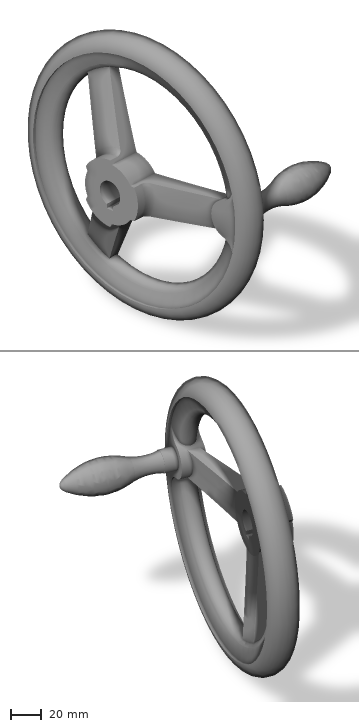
import cadquery as cq
import math


wheel_radius = 100.0
rim_thickness = 22.0
rim_mid_y = -rim_thickness / 2
rim_round = rim_thickness / 2
rim_face_radius = wheel_radius - rim_round
rim_step = 2.0
rim_inner_radius = 75.0
lip_round = 6.2
lip_slope_angle = 17.5

hub_front_y = -45.0
hub_back_y = -21.5
hub_radius = 22.0
lobe_radius = 24.5
bore_diameter = 18.0
keyway_width = 5.5
keyway_depth = 11.8

spoke_count = 3
spoke_root_radius = 18.0
spoke_root_width = 25.0
spoke_tip_radius = 78.0
spoke_tip_width = 22.0
spoke_front_corner_y = -34.5
spoke_tip_front_y = -14.4
spoke_tip_back_y = -6.5
spoke_fillet = 4.5

handle_x = 80.0
pad_radius = 14.0
pad_fillet = 12.0
collar_diameter = 16.0
collar_length = 7.2
neck_base_radius = 7.5
neck_waist_radius = 6.5
neck_waist_y = 17.0
grip_start_radius = 8.4
grip_start_y = 28.2
grip_max_radius = 12.4
grip_max_y = 46.5
grip_end_radius = 4.4
grip_end_y = 74.4
handle_end_y = 77.4


def make_rim():
    """Half-round outside, stepped in at both faces and tapering to a round inner lip."""
    slope = math.radians(lip_slope_angle)
    lip_center = rim_inner_radius + lip_round
    tangent_r = lip_center - lip_round * math.sin(slope)
    tangent_half = lip_round * math.cos(slope)
    step_half = rim_round - rim_step
    profile = (
        cq.Workplane("XY")
        .moveTo(rim_face_radius, rim_mid_y - rim_round)
        .threePointArc((wheel_radius, rim_mid_y), (rim_face_radius, rim_mid_y + rim_round))
        .lineTo(rim_face_radius, rim_mid_y + step_half)
        .lineTo(tangent_r, rim_mid_y + tangent_half)
        .threePointArc((rim_inner_radius, rim_mid_y), (tangent_r, rim_mid_y - tangent_half))
        .lineTo(rim_face_radius, rim_mid_y - step_half)
        .close()
    )
    return profile.revolve(360, (0, 0, 0), (0, 1, 0))


def cylinder_y(radius, start_y, end_y):
    """Cylinder on the wheel axis between two Y positions."""
    return cq.Workplane("XZ", origin=(0, end_y, 0)).circle(radius).extrude(end_y - start_y)


def make_spoke():
    """Spoke along +X: a revolved side profile, trimmed to a tapered width."""
    slope = math.atan2(spoke_tip_front_y - spoke_front_corner_y, spoke_tip_radius - lobe_radius)
    tangent_length = spoke_fillet * math.tan((math.pi / 2 - slope) / 2)
    fillet_center = (lobe_radius + spoke_fillet, spoke_front_corner_y - tangent_length)
    fillet_end = (
        lobe_radius + tangent_length * math.cos(slope),
        spoke_front_corner_y + tangent_length * math.sin(slope),
    )
    mid_angle = (math.pi + math.pi / 2 + slope) / 2
    fillet_mid = (
        fillet_center[0] + spoke_fillet * math.cos(mid_angle),
        fillet_center[1] + spoke_fillet * math.sin(mid_angle),
    )
    body = (
        cq.Workplane("XY")
        .moveTo(0, hub_front_y)
        .lineTo(lobe_radius, hub_front_y)
        .lineTo(lobe_radius, fillet_center[1])
        .threePointArc(fillet_mid, fillet_end)
        .lineTo(spoke_tip_radius, spoke_tip_front_y)
        .lineTo(spoke_tip_radius, spoke_tip_back_y)
        .lineTo(hub_radius, hub_back_y)
        .lineTo(0, hub_back_y)
        .close()
        .revolve(360, (0, 0, 0), (0, 1, 0))
    )
    footprint = [
        (0, -spoke_root_width / 2),
        (spoke_root_radius, -spoke_root_width / 2),
        (spoke_tip_radius, -spoke_tip_width / 2),
        (spoke_tip_radius, spoke_tip_width / 2),
        (spoke_root_radius, spoke_root_width / 2),
        (0, spoke_root_width / 2),
    ]
    width = cq.Workplane("XZ").polyline(footprint).close().extrude(-hub_front_y)
    return body.intersect(width)


def make_pad():
    """Round pad, one rim step below both rim faces, blended into the rim by concave arcs."""
    center_distance = rim_face_radius - pad_fillet
    pad_distance = pad_radius + pad_fillet
    fillet_x = (center_distance**2 + handle_x**2 - pad_distance**2) / (2 * handle_x)
    fillet_z = math.sqrt(center_distance**2 - fillet_x**2)
    pad_share = pad_radius / pad_distance
    pad_x = handle_x + (fillet_x - handle_x) * pad_share
    pad_z = fillet_z * pad_share
    rim_share = rim_face_radius / center_distance
    rim_x = fillet_x * rim_share
    rim_z = fillet_z * rim_share
    start_angle = math.atan2(pad_z - fillet_z, pad_x - fillet_x)
    end_angle = math.atan2(rim_z - fillet_z, rim_x - fillet_x)
    mid_angle = (start_angle + end_angle) / 2
    mid_x = fillet_x + pad_fillet * math.cos(mid_angle)
    mid_z = fillet_z + pad_fillet * math.sin(mid_angle)
    return (
        cq.Workplane("XZ", origin=(0, -rim_step, 0))
        .moveTo(rim_x, -rim_z)
        .threePointArc((mid_x, -mid_z), (pad_x, -pad_z))
        .threePointArc((handle_x - pad_radius, 0), (pad_x, pad_z))
        .threePointArc((mid_x, mid_z), (rim_x, rim_z))
        .threePointArc((rim_face_radius, 0), (rim_x, -rim_z))
        .close()
        .extrude(rim_thickness - 2 * rim_step)
    )


def make_handle():
    """Turned handle on the back of the pad, starting at mid-rim so that it joins firmly."""
    profile = (
        cq.Workplane("XY", origin=(handle_x, 0, 0))
        .moveTo(0, rim_mid_y)
        .lineTo(collar_diameter / 2, rim_mid_y)
        .lineTo(collar_diameter / 2, collar_length)
        .lineTo(neck_base_radius, collar_length)
        .threePointArc((neck_waist_radius, neck_waist_y), (grip_start_radius, grip_start_y))
        .spline([(grip_max_radius, grip_max_y), (grip_end_radius, grip_end_y)], includeCurrent=True)
        .spline([(0, handle_end_y)], tangents=[(-1, 1), (-1, 0)], includeCurrent=True)
        .close()
    )
    return profile.revolve(360, (0, 0, 0), (0, 1, 0))


wheel = make_rim().union(cylinder_y(hub_radius, hub_front_y, hub_back_y))
spoke = make_spoke()
for index in range(spoke_count):
    wheel = wheel.union(spoke.rotate((0, 0, 0), (0, 1, 0), index * 360 / spoke_count))
wheel = wheel.union(make_pad()).union(make_handle())

bore = cylinder_y(bore_diameter / 2, hub_front_y, hub_back_y)
keyway = cq.Workplane("XY").box(
    keyway_width, hub_back_y - hub_front_y, keyway_depth, centered=(True, False, False)
).translate((0, hub_front_y, -keyway_depth))
result = wheel.cut(bore).cut(keyway)